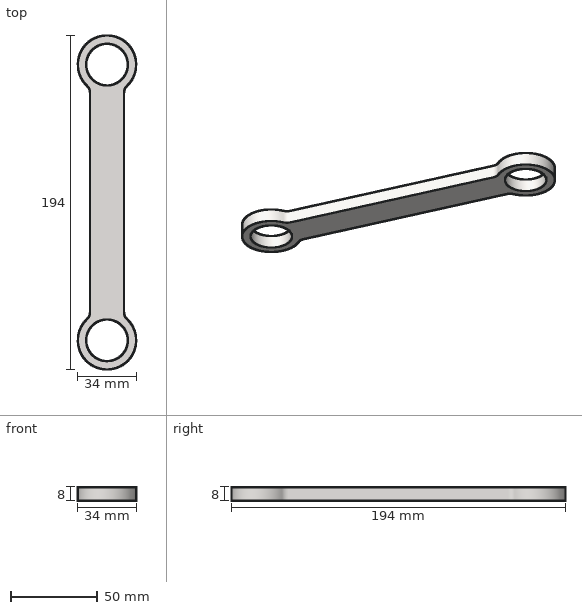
import cadquery as cq

thickness = 8.0
overall_length = 194.0
eye_diameter = 34.0
bore_diameter = 24.05
bar_width = 20.0
neck_fillet_radius = 5.0

center_distance = overall_length - eye_diameter
eye_centers = [(0, -center_distance / 2), (0, center_distance / 2)]


def make_bar():
    """Straight flat bar running from one eye center to the other."""
    return cq.Workplane("XY").rect(bar_width, center_distance).extrude(thickness)


def make_discs(diameter):
    """Full-thickness discs at both eye centers."""
    return cq.Workplane("XY").pushPoints(eye_centers).circle(diameter / 2).extrude(thickness)


def fillet_necks(link):
    """Round the four inside corners where the bar meets the eyes."""
    half_span = (center_distance - bar_width) / 2
    between_eyes = cq.selectors.BoxSelector(
        (-bar_width, -half_span, 0),
        (bar_width, half_span, thickness),
    )
    return link.edges("|Z").edges(between_eyes).fillet(neck_fillet_radius)


link_blank = fillet_necks(make_bar().union(make_discs(eye_diameter)))
result = link_blank.cut(make_discs(bore_diameter))